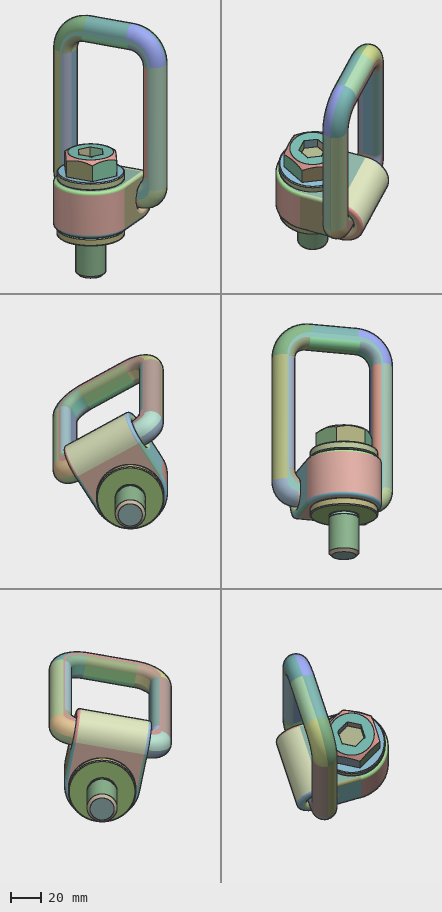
import cadquery as cq
import math


thread_radius = 10.0
thread_length = 26.0
tip_chamfer = 2.0
relief_radius = 9.0
relief_length = 1.9
head_height = 13.7
head_across_flats = 33.3
head_top_radius = 15.0
head_corner_drop = 2.7
socket_across_flats = 15.9
socket_depth = 7.0

flange_radius = 22.3
flange_thickness = 5.2
flange_chamfer = 0.7
sleeve_radius = 17.1
end_gap = 0.8

housing_height = 32.3
housing_width = 50.0
housing_length = 69.0
nose_offset = 0.7
housing_fillet = 2.0
link_bore_radius = 9.3
link_bore_fillet = 3.2

overall_height = 169.3
link_width = 82.0
link_depth = 16.5
link_leg_width = 14.4
link_bar_height = 16.6
link_bottom_z = 41.6
outer_top_corner = 25.0
outer_bottom_corner = 15.9
inner_top_corner = 9.5
inner_bottom_corner = 7.5
outer_edge_fillet = 8.1
inner_edge_fillet = 5.0

bushing_bottom_z = thread_length + relief_length
housing_bottom_z = bushing_bottom_z + flange_thickness + end_gap
housing_top_z = housing_bottom_z + housing_height
upper_flange_z = housing_top_z + end_gap
bushing_top_z = upper_flange_z + flange_thickness
bushing_height = bushing_top_z - bushing_bottom_z
head_top_z = bushing_top_z + head_height

nose_radius = housing_width / 2
lug_radius = housing_height / 2
lug_y = nose_offset - nose_radius + housing_length - lug_radius
lug_z = housing_bottom_z + lug_radius


def across_corners(across_flats):
    return across_flats / math.cos(math.radians(30))


def cylinder(radius, bottom_z, height):
    return cq.Workplane("XY").workplane(offset=bottom_z).circle(radius).extrude(height)


def make_bolt():
    """Hexagon head bolt with a chamfered crown, a socket and a relief above the thread."""
    thread = cylinder(thread_radius, 0, thread_length).faces("<Z").chamfer(tip_chamfer)
    relief = cylinder(relief_radius, thread_length, relief_length)
    shank = cylinder(thread_radius, bushing_bottom_z, bushing_height)

    head_corners = across_corners(head_across_flats)
    corner_radius = head_corners / 2
    head = cq.Workplane("XY").workplane(offset=bushing_top_z).polygon(6, head_corners).extrude(head_height)
    crown = (
        cq.Workplane("XZ")
        .moveTo(0, bushing_top_z)
        .lineTo(corner_radius, bushing_top_z)
        .lineTo(corner_radius, head_top_z - head_corner_drop)
        .lineTo(head_top_radius, head_top_z)
        .lineTo(0, head_top_z)
        .close()
        .revolve(360, (0, 0, 0), (0, 1, 0))
    )
    socket = (
        cq.Workplane("XY")
        .workplane(offset=head_top_z)
        .polygon(6, across_corners(socket_across_flats))
        .extrude(-socket_depth)
    )
    head = head.intersect(crown).cut(socket)
    return thread.union(relief).union(shank).union(head)


def make_bushing():
    """Sleeve with an equal flange at each end, bored for the bolt shank."""
    bushing = cylinder(sleeve_radius, bushing_bottom_z, bushing_height)
    for flange_z in (bushing_bottom_z, upper_flange_z):
        flange = cylinder(flange_radius, flange_z, flange_thickness).edges().chamfer(flange_chamfer)
        bushing = bushing.union(flange)
    return bushing.cut(cylinder(thread_radius, bushing_bottom_z, bushing_height))


def make_housing():
    """Block with a round nose around the bolt and a round lug across the back for the link."""
    nose = cylinder(nose_radius, housing_bottom_z, housing_height).translate((0, nose_offset, 0))
    lug = (
        cq.Workplane("YZ")
        .center(lug_y, lug_z)
        .circle(lug_radius)
        .extrude(nose_radius, both=True)
    )
    middle = (
        cq.Workplane("XY")
        .box(housing_width, lug_y - nose_offset, housing_height, centered=(True, False, False))
        .translate((0, nose_offset, housing_bottom_z))
    )
    body = middle.union(nose).union(lug).clean()
    body = body.faces(">X or <X").edges().fillet(housing_fillet)

    link_bore = (
        cq.Workplane("YZ")
        .center(lug_y, lug_z)
        .circle(link_bore_radius)
        .extrude(nose_radius, both=True)
    )
    body = body.cut(link_bore)
    bore_rims = cq.selectors.RadiusNthSelector(0)
    body = body.faces(">X or <X").edges("%CIRCLE").edges(bore_rims).fillet(link_bore_fillet)
    return body.cut(cylinder(sleeve_radius, housing_bottom_z, housing_height))


def rounded_block(width, bottom_z, top_z, bottom_corner, top_corner):
    """Upright block centred on the lug, with separate radii for its bottom and top corners."""
    block = (
        cq.Workplane("XY")
        .box(width, link_depth, top_z - bottom_z, centered=(True, True, False))
        .translate((0, lug_y, bottom_z))
    )
    block = block.faces("<Z").edges("|Y").fillet(bottom_corner)
    return block.faces(">Z").edges("|Y").fillet(top_corner)


def make_link():
    """Closed rectangular link with full-round outside edges and smaller inside edge fillets."""
    outside = rounded_block(link_width, link_bottom_z, overall_height, outer_bottom_corner, outer_top_corner)
    outside = outside.faces("<Y or >Y").edges().fillet(outer_edge_fillet)
    opening = rounded_block(
        link_width - 2 * link_leg_width,
        link_bottom_z + link_bar_height,
        overall_height - link_bar_height,
        inner_bottom_corner,
        inner_top_corner,
    )
    link = outside.cut(opening)
    opening_edges = cq.selectors.BoxSelector(
        (-link_width / 2 + outer_edge_fillet, lug_y - link_depth, link_bottom_z + outer_edge_fillet),
        (link_width / 2 - outer_edge_fillet, lug_y + link_depth, overall_height - outer_edge_fillet),
    )
    return link.faces("<Y or >Y").edges(opening_edges).fillet(inner_edge_fillet)


bolt = make_bolt()
bushing = make_bushing()
link = make_link()
housing = make_housing().cut(link)

bodies = (bolt, bushing, housing, link)
result = cq.Compound.makeCompound([body.solids().val() for body in bodies])